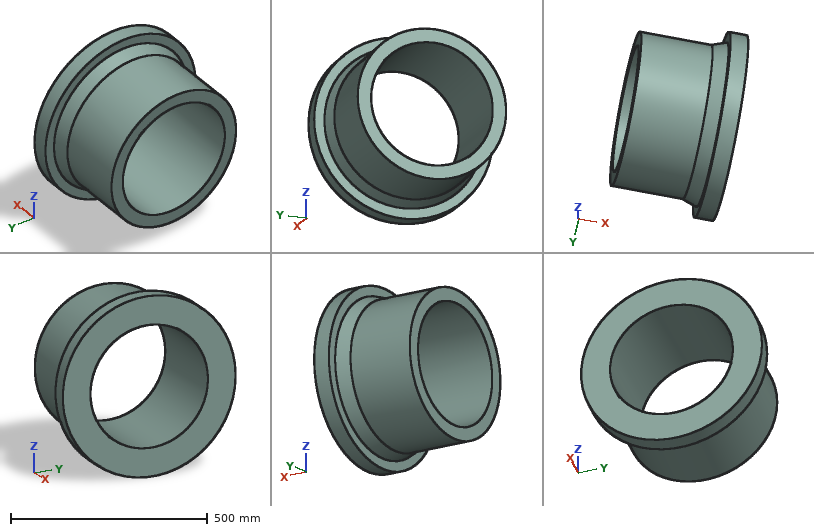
import cadquery as cq

total_length = 270.0
flange_diameter = 482.0
flange_thickness = 46.5
pipe_diameter = 400.0
bore_diameter = 327.5
neck_diameter = 427.0
neck_length = 38.5

flange_start = total_length - flange_thickness
neck_start = flange_start - neck_length

bore_radius = bore_diameter / 2
pipe_radius = pipe_diameter / 2
neck_radius = neck_diameter / 2
flange_radius = flange_diameter / 2

wall_section = (
    cq.Workplane("XY")
    .moveTo(0, bore_radius)
    .lineTo(0, pipe_radius)
    .lineTo(neck_start, pipe_radius)
    .lineTo(flange_start, neck_radius)
    .lineTo(flange_start, flange_radius)
    .lineTo(total_length, flange_radius)
    .lineTo(total_length, bore_radius)
    .close()
)

result = wall_section.revolve(360, (0, 0, 0), (1, 0, 0))